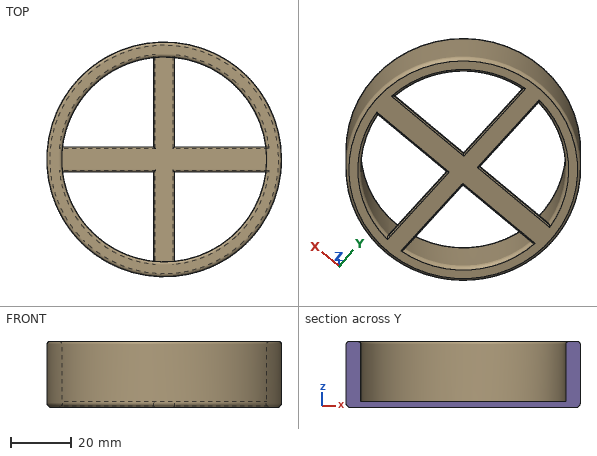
import cadquery as cq

outer_diameter = 78.0
inner_diameter = 68.0
height = 22.0
rim_fillet = 1.0
base_chamfer = 1.0
base_blend = 1.0

x_spoke_width = 8.4
y_spoke_width = 7.0
spoke_thickness = 2.0
spoke_fillet = 0.8
spoke_chamfer = 0.5
spoke_length = (outer_diameter + inner_diameter) / 2


def make_ring():
    """Ring with rounded top edges and softened chamfers on both base edges."""
    ring = cq.Workplane("XY").circle(outer_diameter / 2).circle(inner_diameter / 2).extrude(height)
    ring = ring.faces(">Z").edges().fillet(rim_fillet)
    ring = ring.faces("<Z").edges().chamfer(base_chamfer)
    wall_edges = cq.selectors.BoxSelector(
        (-outer_diameter, -outer_diameter, base_chamfer / 2),
        (outer_diameter, outer_diameter, height / 2),
        boundingbox=True,
    )
    return ring.edges(wall_edges).fillet(base_blend)


def make_cross():
    """Two crossing spokes with rounded upper and chamfered lower edges."""
    along_x = cq.Workplane("XY").rect(spoke_length, x_spoke_width).extrude(spoke_thickness)
    along_y = cq.Workplane("XY").rect(y_spoke_width, spoke_length).extrude(spoke_thickness)
    cross = along_x.union(along_y)
    cross = cross.faces(">Z").edges().fillet(spoke_fillet)
    return cross.faces("<Z").edges().chamfer(spoke_chamfer)


result = make_ring().union(make_cross())